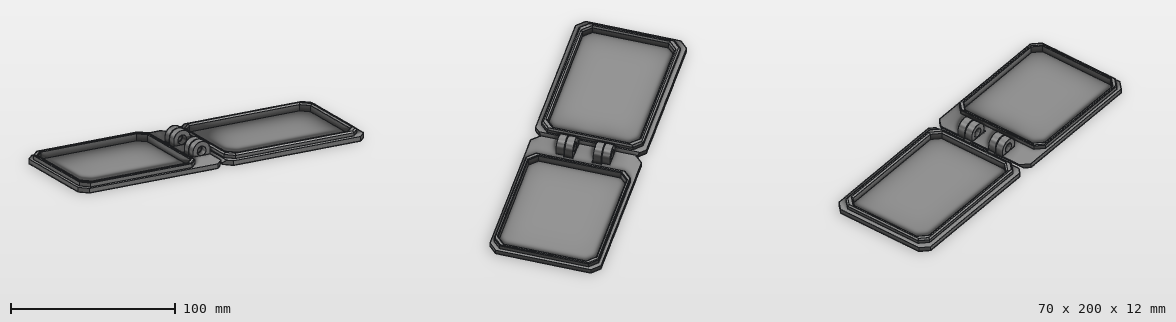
import cadquery as cq
width = 70.0
leaf_length = 100.0
base_thickness = 3.0
closing_height = 6.0
corner_cut = 5.0
hinge_edge_bevel = 2.0

floor_height = 1.0
rim_height = closing_height - base_thickness

front_rim_margin = 2.0
front_rim_wall = 2.0
front_rim_rear_y = -17.0
front_rim_chamfer = 0.5

rear_rim_margin = 3.0
rear_rim_wall = 3.0
rear_rim_chamfer = 1.0
rear_edge_y = 1.0
rear_rim_front_y = rear_edge_y + rear_rim_margin

knuckle_diameter = 12.0
bore_diameter = 6.0
knuckle_radius = knuckle_diameter / 2
axis_y = -knuckle_radius
axis_z = closing_height
knuckle_width = 5.0
joint_x = 12.0
side_clearance = 0.5
slot_end_clearance = 1.0


def cut_corner_block(block_width, y_front, y_rear, z_bottom, height):
    """Upright block, centred on X, with its four vertical edges cut at 45 degrees."""
    length = y_rear - y_front
    return (
        cq.Workplane("XY", origin=(0, (y_front + y_rear) / 2, z_bottom))
        .rect(block_width, length)
        .extrude(height)
        .edges("|Z")
        .chamfer(corner_cut)
    )


def side_profile_prism(points, x_start, x_end):
    """Closed (Y, Z) outline extruded along X."""
    return cq.Workplane("YZ", origin=(x_start, 0, 0)).polyline(points).close().extrude(x_end - x_start)


def knuckle(x_start, z_bottom):
    """Knuckle with a round top and straight sides that run down to z_bottom."""
    return (
        cq.Workplane("YZ", origin=(x_start, 0, 0))
        .moveTo(axis_y - knuckle_radius, z_bottom)
        .lineTo(axis_y - knuckle_radius, axis_z)
        .threePointArc((axis_y, axis_z + knuckle_radius), (axis_y + knuckle_radius, axis_z))
        .lineTo(axis_y + knuckle_radius, z_bottom)
        .close()
        .extrude(knuckle_width)
    )


def hinge_bore():
    """Pin hole through all knuckles."""
    return (
        cq.Workplane("YZ", origin=(-width / 2, 0, 0))
        .center(axis_y, axis_z)
        .circle(bore_diameter / 2)
        .extrude(width)
    )


def chamfered_rim(y_front, y_rear, margin, wall, chamfer):
    """Hollow rim standing on the base, with its inner and outer top edges chamfered."""
    rim_width = width - 2 * margin
    rim = cut_corner_block(rim_width, y_front, y_rear, base_thickness, rim_height)
    rim = rim.cut(tray_pocket(y_front, y_rear, margin, wall))
    return rim.faces(">Z").chamfer(chamfer)


def tray_pocket(y_front, y_rear, margin, wall):
    """Space inside a rim, from the recessed floor up to the rim top."""
    pocket_width = width - 2 * (margin + wall)
    pocket_height = closing_height - floor_height
    return cut_corner_block(pocket_width, y_front + wall, y_rear - wall, floor_height, pocket_height)


def make_front_leaf():
    leaf = cut_corner_block(width, -leaf_length, 0, 0, base_thickness)
    undercut = [(0, 0), (-hinge_edge_bevel, 0), (0, hinge_edge_bevel)]
    leaf = leaf.cut(side_profile_prism(undercut, -width / 2, width / 2))

    rim_ends = (-leaf_length + front_rim_margin, front_rim_rear_y)
    leaf = leaf.cut(tray_pocket(*rim_ends, front_rim_margin, front_rim_wall))
    leaf = leaf.union(chamfered_rim(*rim_ends, front_rim_margin, front_rim_wall, front_rim_chamfer))

    slot_width = knuckle_width + 2 * side_clearance
    slot_length = knuckle_diameter + slot_end_clearance
    for side in (-1, 1):
        slot_x = side * (joint_x - slot_width / 2)
        slot = cq.Workplane("XY").center(slot_x, -slot_length / 2).rect(slot_width, slot_length)
        leaf = leaf.cut(slot.extrude(base_thickness))

    for x_start in (-joint_x - knuckle_width, joint_x):
        leaf = leaf.union(knuckle(x_start, base_thickness))
    return leaf.cut(hinge_bore())


def make_rear_leaf():
    leaf = cut_corner_block(width, rear_edge_y, leaf_length, 0, base_thickness)
    bevel_rear_y = rear_edge_y + hinge_edge_bevel
    bevel = [
        (rear_edge_y, base_thickness - hinge_edge_bevel),
        (bevel_rear_y, base_thickness),
        (rear_edge_y, base_thickness),
    ]
    leaf = leaf.cut(side_profile_prism(bevel, -width / 2, width / 2))

    rim_ends = (rear_rim_front_y, leaf_length - rear_rim_margin)
    leaf = leaf.cut(tray_pocket(*rim_ends, rear_rim_margin, rear_rim_wall))
    leaf = leaf.union(chamfered_rim(*rim_ends, rear_rim_margin, rear_rim_wall, rear_rim_chamfer))

    arm = [(0, 0), (bevel_rear_y, 0), (bevel_rear_y, base_thickness), (0, base_thickness)]
    outer_face_x = joint_x - side_clearance
    for x_start in (-outer_face_x, outer_face_x - knuckle_width):
        leaf = leaf.union(side_profile_prism(arm, x_start, x_start + knuckle_width))
        leaf = leaf.union(knuckle(x_start, 0))
    return leaf.cut(hinge_bore())


front_leaf = make_front_leaf()
rear_leaf = make_rear_leaf()

result = cq.Compound.makeCompound([front_leaf.val(), rear_leaf.val()])